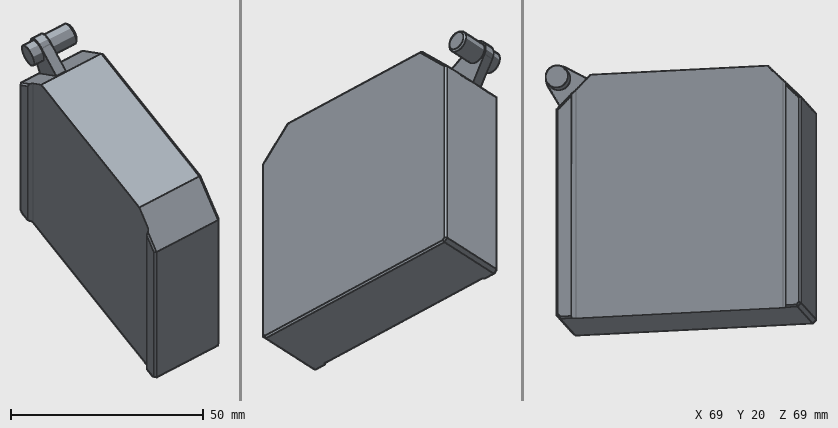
import cadquery as cq
import math

overall_width = 69.0
lug_overhang = 4.0
body_side = overall_width - lug_overhang
body_depth = 20.0

top_corner_cut = 9.0
bottom_corner_cut = 1.0
edge_chamfer = 0.5

rail_width = 4.0
channel_depth = 1.0
channel_fillet = channel_depth

lug_radius = 3.5
lug_taper_angle = 15.0
diagonal_angle = 45.0
lug_thickness = 3.0
lug_setback = 6.0
lug_root = 0.7
pin_radius = 3.0
pin_length = 13.5
pin_setback = 3.0
pin_chamfer = 0.5

half_side = body_side / 2
front_y = -body_depth / 2
pin_offset = half_side + lug_overhang - lug_radius


def front_plane(setback):
    """Plane facing -Y at a distance behind the front; extruding by a negative length goes back."""
    return cq.Workplane("XZ", origin=(0, front_y + setback, 0))


def make_body():
    """Square block with cut corners and chamfered front and back faces."""
    block = cq.Workplane("XY").box(body_side, body_depth, body_side)
    block = block.edges("|Y and >Z").chamfer(top_corner_cut)
    block = block.edges("|Y and <Z").chamfer(bottom_corner_cut)
    return block.faces("<Y or >Y").chamfer(edge_chamfer)


def make_channel():
    """Cutter for the full-height front channel, with rounded floor corners."""
    channel = cq.Workplane("XY").box(
        body_side - 2 * rail_width, 2 * channel_depth, body_side
    )
    channel = channel.edges("|Z and >Y").fillet(channel_fillet)
    return channel.translate((0, front_y, 0))


def make_lug():
    """Rounded lug whose flanks spread from the pin to the cut corner of the body."""
    taper = math.radians(lug_taper_angle)
    tangent_x = lug_radius * -math.sin(taper)
    tangent_z = lug_radius * math.cos(taper)
    cut_distance = (2 * pin_offset - (body_side - top_corner_cut)) / math.sqrt(2)
    flank_z = tangent_z + (cut_distance - tangent_x) * math.tan(taper)
    root_x = cut_distance + lug_root
    lug = (
        front_plane(lug_setback)
        .moveTo(tangent_x, tangent_z)
        .lineTo(cut_distance, flank_z)
        .lineTo(root_x, flank_z)
        .lineTo(root_x, -flank_z)
        .lineTo(cut_distance, -flank_z)
        .lineTo(tangent_x, -tangent_z)
        .threePointArc((-lug_radius, 0), (tangent_x, tangent_z))
        .close()
        .extrude(-lug_thickness)
    )
    lug = lug.rotate((0, 0, 0), (0, 1, 0), diagonal_angle)
    return lug.translate((-pin_offset, 0, pin_offset))


def make_pin():
    """Round pin running front to back through the lug."""
    pin = front_plane(pin_setback).center(-pin_offset, pin_offset)
    pin = pin.circle(pin_radius).extrude(-pin_length)
    return pin.faces(">Y").chamfer(pin_chamfer)


result = make_body().cut(make_channel()).union(make_lug()).union(make_pin())